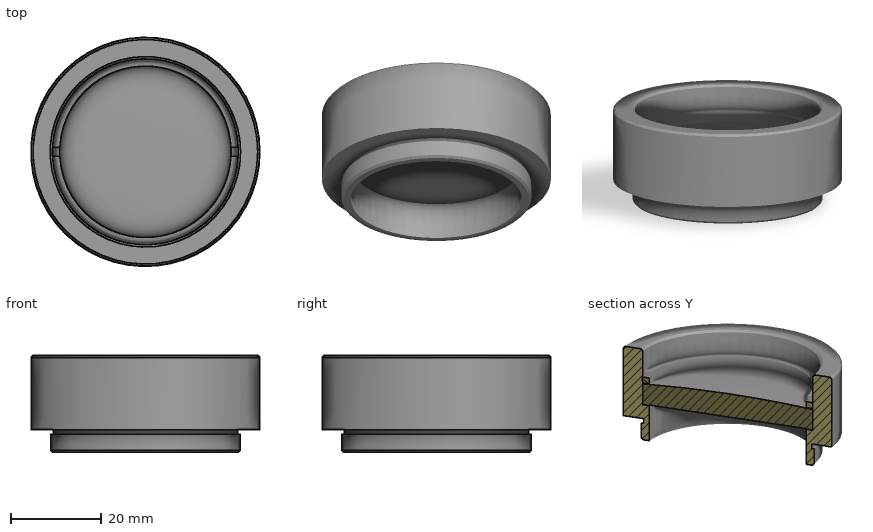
import cadquery as cq
import math

outer_diameter = 50.8
total_height = 21.5
spigot_diameter = 42.1
spigot_height = 4.0
relief_diameter = 41.0
relief_height = 1.0
edge_chamfer = 0.5

bore_diameter = 41.25
aperture_diameter = 38.0

ring_top_depth = 5.6
ring_thickness = 2.5
spanner_slot_width = 2.0
spanner_slot_depth = 1.0

dome_rise = 0.6
lens_seat_thickness = 5.0

aperture_radius = aperture_diameter / 2
bore_radius = bore_diameter / 2
shoulder_z = spigot_height + relief_height
ring_top_z = total_height - ring_top_depth
ring_bottom_z = ring_top_z - ring_thickness
lens_seat_z = ring_bottom_z - lens_seat_thickness

dome_radius = (aperture_radius**2 + dome_rise**2) / (2 * dome_rise)
dome_top_z = ring_bottom_z + dome_rise
dome_center_z = dome_top_z - dome_radius


def disc(diameter, bottom_z, height):
    return cq.Workplane("XY").workplane(offset=bottom_z).circle(diameter / 2).extrude(height)


def dome_z(radius):
    """Height of the lens dome at a distance from the axis."""
    return dome_center_z + math.sqrt(dome_radius**2 - radius**2)


def make_housing():
    spigot = disc(spigot_diameter, 0, spigot_height).faces("<Z").chamfer(edge_chamfer)
    relief = disc(relief_diameter, spigot_height, relief_height)
    barrel = disc(outer_diameter, shoulder_z, total_height - shoulder_z)
    body = spigot.union(relief).union(barrel)
    body = body.cut(disc(aperture_diameter, 0, total_height))
    body = body.cut(disc(bore_diameter, lens_seat_z, total_height - lens_seat_z))
    return body.faces(">Z").chamfer(edge_chamfer)


def make_retaining_ring():
    ring = disc(bore_diameter, ring_bottom_z, ring_thickness)
    ring = ring.cut(disc(aperture_diameter, ring_bottom_z, ring_thickness))
    slot = (
        cq.Workplane("XY")
        .workplane(offset=ring_top_z - spanner_slot_depth)
        .rect(bore_diameter, spanner_slot_width)
        .extrude(spanner_slot_depth)
    )
    return ring.cut(slot)


def make_lens():
    mid_radius = bore_radius / 2
    return (
        cq.Workplane("XZ")
        .moveTo(0, lens_seat_z)
        .lineTo(bore_radius, lens_seat_z)
        .lineTo(bore_radius, dome_z(bore_radius))
        .threePointArc((mid_radius, dome_z(mid_radius)), (0, dome_top_z))
        .close()
        .revolve(360, (0, 0, 0), (0, 1, 0))
    )


housing = make_housing()
retaining_ring = make_retaining_ring()
lens = make_lens()

result = cq.Compound.makeCompound([housing.val(), retaining_ring.val(), lens.val()])